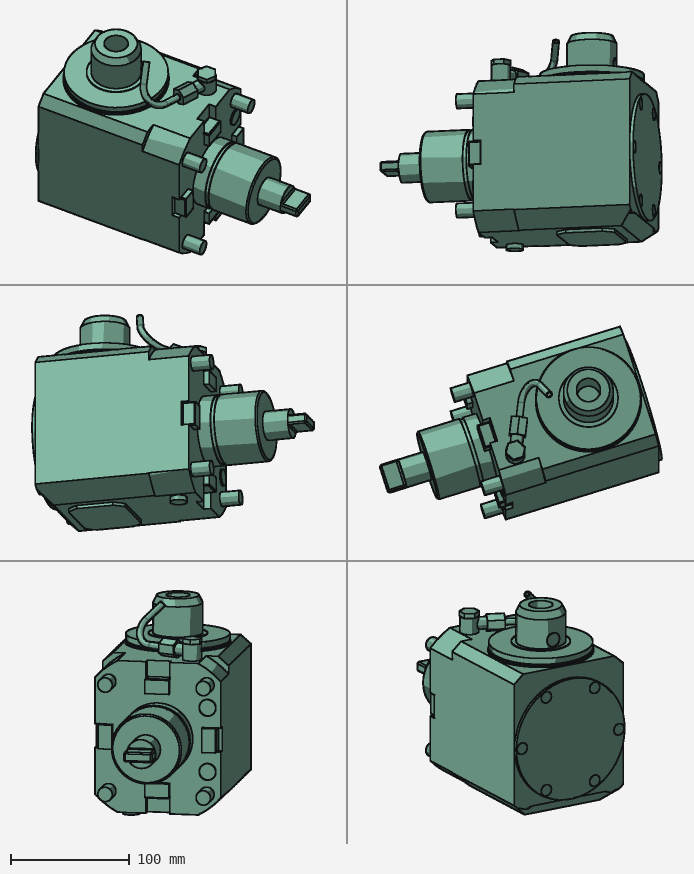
import cadquery as cq
import math


cover_thickness = 3.0
cover_radius = 53.5
body_left = cover_thickness
body_right = 138.3
body_width = 108.0
body_top = 65.0
body_bottom = -65.0
top_chamfer_y = 9.0
top_chamfer_z = 7.8
bottom_chamfer_y = 17.2
bottom_chamfer_z = 14.5
front_chamfer = 11.0
turned_start = 103.0
turned_radius = 73.8

cover_screw_circle = 47.9
cover_screw_radius = 5.0
cover_screw_recess = 0.11
cover_screw_count = 6

spindle_x = 48.0
flange_steps = (
    (44.7, 66.0),
    (43.3, 67.3),
    (44.0, 72.8),
    (25.0, 73.5),
)
spindle_radius = 21.0
spindle_top = 105.8
spindle_chamfer_radial = 3.2
spindle_chamfer_axial = 6.5
spindle_bore_radius = 10.0
spindle_bore_depth = 32.0
side_hole_radius = 6.2
side_hole_z = 80.5
side_hole_depth = 1.1

shank_radius = 30.0
shank_end = 190.8
shank_chamfer = 1.4
groove_start = 150.0
groove_end = 153.2
groove_depth = 1.0
drive_radius = 12.4
drive_end = 212.8
tang_end = 229.0
tang_width = 24.3
tang_thickness = 8.5
tang_chamfer = 1.4
tang_root_length = 1.8
tang_root_height = 0.7

bolt_y = 42.1
bolt_z = 47.0
bolt_radius = 6.2
bolt_end = 154.8
plug_radius = 9.0
plug_length = 13.7

key_inner = 38.5
key_outer = 51.3
key_width = 20.5
key_start = 132.0
key_end = 143.2
key_chamfer = 1.0

seal_y = 42.8
seal_z = 27.5
seal_radius = 7.0
seal_height = 1.4

pad_length_x = 50.0
pad_length_y = 60.5
pad_corner_radius = 34.1
pad_height = 2.7
foot_radius = 7.0
foot_height = 4.1

fitting_x = 121.0
fitting_y = 26.0
post_radius = 8.0
head_bottom = 79.3
head_top = 83.4
head_across_corners = 17.0
pipe_z = 72.4
pipe_heading = 24.0
stub_radius = 5.3
nut_start = 14.7
nut_end = 29.8
nut_across_flats = 13.5
tube_radius = 2.7
tube_bore_radius = 1.8
tube_bend_start = 43.3
tube_bend_tangent = 28.0
tube_tail = 19.0
tail_heading = 19.0
tail_rise = 43.0


def cylinder_x(radius, start, end, y=0.0, z=0.0):
    """Cylinder along X between two X positions."""
    return cq.Workplane("YZ", origin=(start, y, z)).circle(radius).extrude(end - start)


def cylinder_z(radius, start, end, x=0.0, y=0.0):
    """Cylinder along Z between two heights."""
    return cq.Workplane("XY", origin=(x, y, start)).circle(radius).extrude(end - start)


def bar_x(outline, start, end):
    """Bar along X with a closed outline of (y, z) points."""
    return cq.Workplane("YZ", origin=(start, 0, 0)).polyline(outline).close().extrude(end - start)


def make_housing():
    half = body_width / 2
    outline = [
        (half - top_chamfer_y, body_top),
        (half, body_top - top_chamfer_z),
        (half, body_bottom + bottom_chamfer_z),
        (half - bottom_chamfer_y, body_bottom),
    ]
    outline += [(-y, z) for y, z in reversed(outline)]
    chamfered = bar_x(outline, body_left, turned_start)
    chamfered = chamfered.faces("<X").edges("<Z").chamfer(front_chamfer)

    block = [(half, body_top), (half, body_bottom), (-half, body_bottom), (-half, body_top)]
    turned = bar_x(block, turned_start, body_right).intersect(
        cylinder_x(turned_radius, turned_start, body_right)
    )
    housing = chamfered.union(turned)
    for side in (-1, 1):
        housing = housing.union(
            cylinder_x(plug_radius, body_left, body_left + plug_length, side * bolt_y, -bolt_z)
        )
    return housing


def make_cover():
    recesses = (
        cq.Workplane("YZ")
        .polarArray(cover_screw_circle, 0, 360, cover_screw_count)
        .circle(cover_screw_radius)
        .extrude(cover_screw_recess)
    )
    return cylinder_x(cover_radius, 0, cover_thickness).cut(recesses)


def make_spindle():
    spindle = (
        cylinder_z(spindle_radius, body_top, spindle_top, spindle_x)
        .faces(">Z")
        .chamfer(spindle_chamfer_axial, spindle_chamfer_radial)
    )
    bottom = body_top
    for radius, top in flange_steps:
        spindle = spindle.union(cylinder_z(radius, bottom, top, spindle_x))
        bottom = top
    spindle = spindle.cut(
        cylinder_z(spindle_bore_radius, spindle_top - spindle_bore_depth, spindle_top, spindle_x)
    )
    hole_mouth = spindle_x - spindle_radius
    return spindle.cut(
        cylinder_x(side_hole_radius, hole_mouth, hole_mouth + side_hole_depth, 0, side_hole_z)
    )


def make_shank():
    shank = cylinder_x(shank_radius, body_right, shank_end).faces(">X").chamfer(shank_chamfer)
    groove = cylinder_x(shank_radius, groove_start, groove_end).cut(
        cylinder_x(shank_radius - groove_depth, groove_start, groove_end)
    )
    tang = (
        cq.Workplane("XY")
        .box(tang_end - drive_end, tang_width, tang_thickness, centered=(False, True, True))
        .translate((drive_end, 0, 0))
        .edges("|X or >X")
        .chamfer(tang_chamfer)
    )
    root_width = tang_width - 2 * tang_chamfer
    flare = tang_thickness / 2 + tang_root_height
    root_end = drive_end + tang_root_length
    root = (
        cq.Workplane("XZ")
        .polyline([
            (drive_end, flare),
            (root_end, tang_thickness / 2),
            (root_end, -tang_thickness / 2),
            (drive_end, -flare),
        ])
        .close()
        .extrude(root_width / 2, both=True)
    )
    drive = cylinder_x(drive_radius, shank_end, drive_end)
    return shank.cut(groove).union(drive).union(tang).union(root)


def key_block(outer):
    """Block for the key on the +Z side, reaching out to the given distance."""
    return cq.Workplane("XY", origin=(key_start, 0, key_inner)).box(
        key_end - key_start, key_width, outer - key_inner, centered=(False, True, False)
    )


def fit_keys(part):
    """Cut four key slots open to the outside and seat a chamfered key in each."""
    key = key_block(key_outer).faces(">Z").chamfer(key_chamfer)
    slot = key_block(turned_radius)
    for angle in (0, 90, 180, 270):
        part = part.cut(slot.rotate((0, 0, 0), (1, 0, 0), angle))
        part = part.union(key.rotate((0, 0, 0), (1, 0, 0), angle))
    return part


def make_pad():
    bottom = body_bottom - pad_height
    return (
        cq.Workplane("XY", origin=(spindle_x, 0, bottom))
        .rect(pad_length_x, pad_length_y)
        .extrude(pad_height)
        .intersect(cylinder_z(pad_corner_radius, bottom, body_bottom, spindle_x))
    )


def make_fitting():
    post = cylinder_z(post_radius, body_top, head_bottom, fitting_x, fitting_y)
    head = (
        cq.Workplane("XY", origin=(fitting_x, fitting_y, head_bottom))
        .polygon(6, head_across_corners)
        .extrude(head_top - head_bottom)
    )

    heading = math.radians(pipe_heading)
    along = cq.Vector(-math.sin(heading), -math.cos(heading), 0)
    center = cq.Vector(fitting_x, fitting_y, pipe_z)

    def pipe_plane(distance):
        """Plane across the pipe, with its local X pointing up."""
        return cq.Workplane(cq.Plane(center + along * distance, xDir=(0, 0, 1), normal=along))

    stub = pipe_plane(0).circle(stub_radius).extrude(nut_start)
    nut_across_corners = nut_across_flats / math.cos(math.radians(30))
    nut = pipe_plane(nut_start).polygon(6, nut_across_corners).extrude(nut_end - nut_start)

    turn = math.radians(tail_heading)
    rise = math.radians(tail_rise)
    tail = cq.Vector(
        -math.sin(turn) * math.cos(rise), math.cos(turn) * math.cos(rise), math.sin(rise)
    )
    corner = center + along * (tube_bend_start + tube_bend_tangent)
    bend_start = corner - along * tube_bend_tangent
    bend_end = corner + tail * tube_bend_tangent
    half_turn = along.getAngle(tail) / 2
    inward = (tail - along).normalized()
    corner_to_arc = tube_bend_tangent * (1 - math.cos(half_turn)) / math.sin(half_turn)
    path = cq.Wire.assembleEdges([
        cq.Edge.makeLine(center + along * nut_start, bend_start),
        cq.Edge.makeThreePointArc(bend_start, corner + inward * corner_to_arc, bend_end),
        cq.Edge.makeLine(bend_end, bend_end + tail * tube_tail),
    ])
    tube = pipe_plane(nut_start).circle(tube_radius).circle(tube_bore_radius).sweep(path)
    return post.union(head).union(stub).union(nut).union(tube)


result = make_housing().union(make_cover()).union(make_spindle()).union(make_shank())
result = fit_keys(result)

for y_side in (-1, 1):
    for z_side in (-1, 1):
        result = result.union(
            cylinder_x(bolt_radius, body_right, bolt_end, y_side * bolt_y, z_side * bolt_z)
        )

for z_side in (-1, 1):
    result = result.union(
        cylinder_x(seal_radius, body_right, body_right + seal_height, seal_y, z_side * seal_z)
    )

result = result.union(make_pad())
result = result.union(
    cylinder_z(foot_radius, body_bottom - foot_height, body_bottom, fitting_x, -fitting_y)
)
result = result.union(make_fitting())